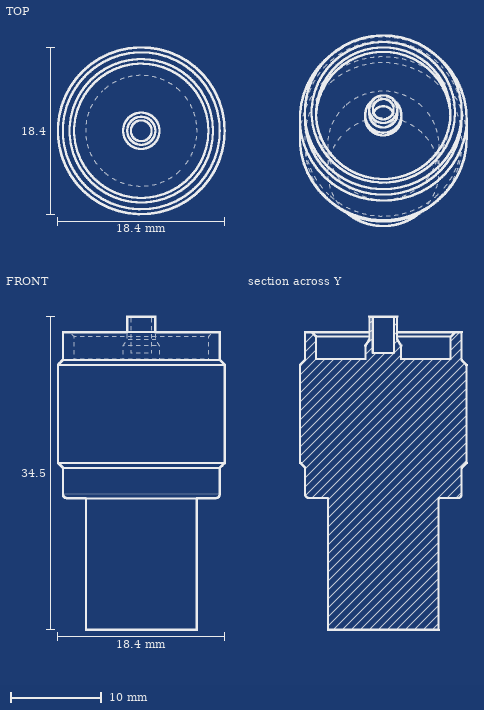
import cadquery as cq

total_height = 34.5
sleeve_bottom_z = 14.5
grip_bottom_z = 17.85
grip_top_z = 29.75
sleeve_top_z = 32.8
floor_z = 29.85

shank_radius = 6.125
sleeve_radius = 8.65
grip_radius = 9.2
grip_chamfer = grip_radius - sleeve_radius
sleeve_fillet = 0.45

cavity_radius = 7.4
cavity_chamfer = 0.5

contact_base_radius = 2.0
contact_tip_radius = 1.55
contact_bore_radius = 1.15
contact_bore_depth = 4.0
contact_shoulder_z = 31.3
contact_cone_height = 0.7


def cylinder(radius, bottom_z, top_z):
    """Cylinder on the Z axis between two levels."""
    return cq.Workplane("XY").workplane(offset=bottom_z).circle(radius).extrude(top_z - bottom_z)


def revolved_profile(points):
    """Solid of revolution about Z from (radius, z) points."""
    return cq.Workplane("XZ").polyline(points).close().revolve(360, (0, 0, 0), (0, 1, 0))


def make_body():
    """Cable shank, coupling sleeve and the wider chamfered grip ring."""
    shank = cylinder(shank_radius, 0, sleeve_bottom_z)
    sleeve = cylinder(sleeve_radius, sleeve_bottom_z, sleeve_top_z).faces("<Z").edges().fillet(sleeve_fillet)
    grip = cylinder(grip_radius, grip_bottom_z, grip_top_z).edges().chamfer(grip_chamfer)
    return shank.union(sleeve).union(grip)


def make_cavity():
    """Open front recess, flared by a chamfer at its mouth."""
    chamfer_bottom_z = sleeve_top_z - cavity_chamfer
    mouth_radius = cavity_radius + cavity_chamfer
    return revolved_profile(
        [
            (0, floor_z),
            (cavity_radius, floor_z),
            (cavity_radius, chamfer_bottom_z),
            (mouth_radius, sleeve_top_z),
            (0, sleeve_top_z),
        ]
    )


def make_contact():
    """Stepped centre contact: wide base, conical shoulder and slim tip."""
    cone_top_z = contact_shoulder_z + contact_cone_height
    return revolved_profile(
        [
            (0, floor_z),
            (contact_base_radius, floor_z),
            (contact_base_radius, contact_shoulder_z),
            (contact_tip_radius, cone_top_z),
            (contact_tip_radius, total_height),
            (0, total_height),
        ]
    )


contact_bore = cylinder(contact_bore_radius, total_height - contact_bore_depth, total_height)
result = make_body().cut(make_cavity()).union(make_contact()).cut(contact_bore)